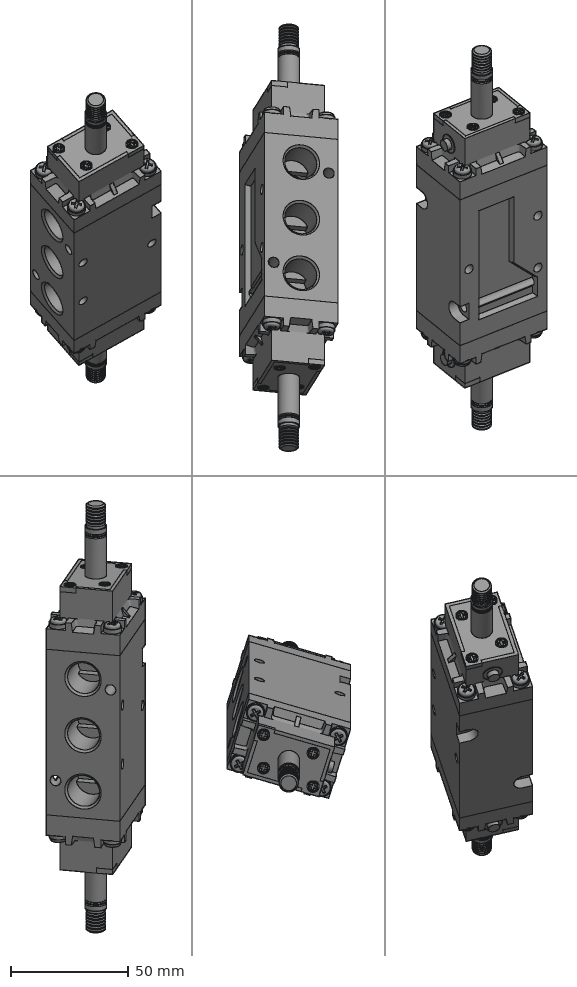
import cadquery as cq
import math


width = 32.5
depth = 45.5
total_height = 195.3
body_top = 37.9
cap_top = 50.8
block_top = 64.8
side_x = width / 2
side_y = depth / 2
tip_z = total_height / 2

port_pitch = 25.8
port_diameter = 14.0
port_mouth_diameter = 16.0
port_mouth_chamfer = (port_mouth_diameter - port_diameter) / 2
port_depth = 15.6
passage_depth = 4.0
outer_passage_height = 5.7
outer_passage_z = 24.8
middle_passage_height = 5.0
mount_hole_diameter = 4.7
mount_hole_x = 12.1
mount_hole_z = 21.9
mount_slot_height = 8.4
mount_slot_depth = 4.7
cross_hole_diameter = 4.3
cross_hole_y = 18.0
cross_hole_z = 13.5

recess_depth = 2.5
recess_draft_inset = 0.8
recess_half_height = 28.3
recess_back_y = 12.9
recess_narrow_y = -5.5
recess_wide_y = -17.8
recess_slope_start_z = -6.0
recess_slope_end_z = recess_slope_start_z - (recess_narrow_y - recess_wide_y)
flute_radius = 2.3
flute_z = -21.7

block_width = 23.2
block_depth = 34.0
screw_pocket = 8.4
screw_pocket_floor = 47.3
cap_screw_diameter = 7.8
cap_screw_inset = 4.3
cap_screw_base_height = 2.0
cap_screw_top_diameter = 7.0
cap_screw_round = 1.0
window_drop = 4.1
window_inner_drop = 3.1
window_flare = 0.5
window_convergence = 0.4
window_corner_radius = 1.0
back_wall_lean = 0.8
long_window = 22.5
short_window = 9.2
rib_width = 2.0
rib_setback = 1.0
override_z = 55.7
override_diameter = 5.0
override_length = 2.3
override_flange_diameter = 8.5
override_flange_length = 0.4

cover_thickness = 2.3
cover_margin = 1.5
cover_tab_width = 7.0
front_tab_depth = 7.5
rear_tab_depth = 8.0
cover_screw_diameter = 5.0
cover_screw_head = 4.0
cover_screw_recess = 0.8
cover_screws = [(-6.2, 9.0), (6.2, -9.4), (8.0, 13.3), (-8.0, -13.7)]
tube_radius = 4.7
neck_radius = 4.1
tip_radius = 3.3
tip_chamfer = 0.5
collar_top = 87.3
groove_depth = 0.5
seal_grooves = [83.5, 84.8]
thread_first_groove = 89.0
thread_pitch = 1.43
thread_grooves = 6
thread_groove_width = 1.0
seal_groove_width = 0.7

cap_cross_length = 4.3
cap_cross_width = 1.0
cap_cross_depth = 1.2
cap_cross_turn = 45
cover_cross_length = 3.1
cover_cross_width = 1.0
cover_cross_depth = 0.5
cover_cross_turn = 0


def box(x, y, z):
    """Box that fills the given (low, high) ranges."""
    size = [high - low for low, high in (x, y, z)]
    return cq.Workplane("XY").box(*size, centered=False).translate((x[0], y[0], z[0]))


def disc(diameter, x, y, z_low, z_high):
    """Upright cylinder."""
    return cq.Workplane("XY", origin=(x, y, z_low)).circle(diameter / 2).extrude(z_high - z_low)


def lengthwise_rod(diameter, x, z, y_low, y_high):
    """Cylinder along Y."""
    return cq.Workplane("XZ", origin=(x, y_low, z)).circle(diameter / 2).extrude(y_low - y_high)


def cross_recess(length, slot_width, slot_depth, x, y, z_top, turn):
    """Two crossed slots that open upwards at z_top, turned by an angle about their middle."""
    plane = cq.Workplane("XY", origin=(x, y, z_top)).transformed(rotate=(0, 0, turn))
    slot = plane.rect(length, slot_width).extrude(-slot_depth)
    cross_slot = plane.rect(slot_width, length).extrude(-slot_depth)
    return slot.union(cross_slot)


def lower_end(body):
    """Copy of an upper-end body, placed at the lower end."""
    return body.rotate((0, 0, 0), (0, 1, 0), 180)


def port(z, passage_z, passage_height):
    """Port in the -Y face: chamfered bore with a slot in its floor."""
    floor_y = -side_y + port_depth
    bore = lengthwise_rod(port_diameter, 0, z, -side_y, floor_y)
    mouth = (
        cq.Workplane("XZ", origin=(0, -side_y, z))
        .circle(port_mouth_diameter / 2)
        .workplane(offset=-port_mouth_chamfer)
        .circle(port_diameter / 2)
        .loft()
    )
    slot = box(
        (-side_x, side_x),
        (floor_y, floor_y + passage_depth),
        (passage_z - passage_height / 2, passage_z + passage_height / 2),
    )
    slot_limit = lengthwise_rod(port_diameter, 0, z, floor_y, floor_y + passage_depth)
    return bore.union(mouth).union(slot.intersect(slot_limit))


def mounting_hole(side):
    """Through hole along Y whose rear end is a round-ended slot open to one side."""
    x = side * mount_hole_x
    z = side * mount_hole_z
    slot_y = side_y - mount_slot_depth
    hole = lengthwise_rod(mount_hole_diameter, x, z, -side_y, side_y)
    slot_end = lengthwise_rod(mount_slot_height, x, z, slot_y, side_y)
    slot = box(
        (min(x, side * side_x), max(x, side * side_x)),
        (slot_y, side_y),
        (z - mount_slot_height / 2, z + mount_slot_height / 2),
    )
    return hole.union(slot_end).union(slot)


def side_recess():
    """Drafted recess in the -X face, widened at the bottom, with a round flute in its floor."""
    outline = [
        (recess_back_y, recess_half_height),
        (recess_narrow_y, recess_half_height),
        (recess_narrow_y, recess_slope_start_z),
        (recess_wide_y, recess_slope_end_z),
        (recess_wide_y, -recess_half_height),
        (recess_back_y, -recess_half_height),
    ]
    draft_angle = math.degrees(math.atan2(recess_draft_inset, recess_depth))
    pocket = (
        cq.Workplane("YZ", origin=(-side_x, 0, 0))
        .polyline(outline)
        .close()
        .extrude(recess_depth, taper=draft_angle)
    )
    flute = lengthwise_rod(
        2 * flute_radius,
        -side_x + recess_depth,
        flute_z,
        recess_wide_y + recess_draft_inset,
        recess_back_y - recess_draft_inset,
    )
    return pocket.union(flute)


def make_valve_body():
    body = box((-side_x, side_x), (-side_y, side_y), (-body_top, body_top))
    body = body.cut(port(0, 0, middle_passage_height))
    for side in (-1, 1):
        body = body.cut(port(side * port_pitch, side * outer_passage_z, outer_passage_height))
        body = body.cut(mounting_hole(side))
    cross_holes = [(-cross_hole_y, cross_hole_z), (-cross_hole_y, -cross_hole_z), (cross_hole_y, 0)]
    drills = (
        cq.Workplane("YZ", origin=(-side_x, 0, 0))
        .pushPoints(cross_holes)
        .circle(cross_hole_diameter / 2)
        .extrude(width)
    )
    return body.cut(drills).cut(side_recess())


def window(length, outer_distance, block_distance, turn):
    """Drafted window at the cap's top edge, from the outer face in to the pilot block.

    It is built on the -Y side and turned about Z.
    """
    half = length / 2
    inner_half = half - window_convergence
    outer = [
        (-half - window_flare, -outer_distance, cap_top),
        (half + window_flare, -outer_distance, cap_top),
        (half, -outer_distance, cap_top - window_drop),
        (-half, -outer_distance, cap_top - window_drop),
    ]
    inner = [
        (-inner_half - window_flare, -block_distance, cap_top),
        (inner_half + window_flare, -block_distance, cap_top),
        (inner_half, -block_distance - back_wall_lean, cap_top - window_inner_drop),
        (-inner_half, -block_distance - back_wall_lean, cap_top - window_inner_drop),
    ]
    wires = [cq.Wire.makePolygon([cq.Vector(*p) for p in points], close=True) for points in (outer, inner)]
    pocket = cq.Workplane(obj=cq.Solid.makeLoft(wires, True))
    back_corners = cq.selectors.BoxSelector(
        (-half, -block_distance - back_wall_lean, cap_top - window_inner_drop),
        (half, -block_distance, cap_top),
    )
    level_edges = cq.selectors.ParallelDirSelector(cq.Vector(1, 0, 0))
    pocket = pocket.edges(back_corners - level_edges).fillet(window_corner_radius)
    return pocket.rotate((0, 0, 0), (0, 0, 1), turn)


def window_rib(side):
    """Triangular rib in the middle of a long window."""
    foot_x = side * (side_x - rib_setback)
    block_x = side * block_width / 2
    floor_z = cap_top - window_drop
    return (
        cq.Workplane("XZ", origin=(0, rib_width / 2, 0))
        .polyline([(foot_x, floor_z), (block_x, floor_z), (block_x, cap_top)])
        .close()
        .extrude(rib_width)
    )


def screw_pockets():
    """Square pockets at the four top corners of the cap."""
    pockets = cq.Workplane("XY")
    for x in (-1, 1):
        for y in (-1, 1):
            x_range = sorted((x * side_x, x * (side_x - screw_pocket)))
            y_range = sorted((y * side_y, y * (side_y - screw_pocket)))
            pockets = pockets.add(box(x_range, y_range, (screw_pocket_floor, cap_top)))
    return pockets.combine()


def cap_screw_head(x, y):
    base_top = screw_pocket_floor + cap_screw_base_height
    base = disc(cap_screw_diameter, x, y, screw_pocket_floor, base_top)
    top = disc(cap_screw_top_diameter, x, y, base_top, cap_top)
    top = top.faces(">Z").edges().fillet(cap_screw_round)
    cross = cross_recess(cap_cross_length, cap_cross_width, cap_cross_depth, x, y, cap_top, cap_cross_turn)
    return base.union(top).cut(cross)


def manual_override():
    """Flanged button on the +Y face of the pilot block."""
    face_y = block_depth / 2
    flange_y = face_y + override_flange_length
    flange = lengthwise_rod(override_flange_diameter, 0, override_z, face_y, flange_y)
    button = lengthwise_rod(override_diameter, 0, override_z, face_y, flange_y + override_length)
    return flange.union(button)


def make_end_cap(cover):
    cap = box((-side_x, side_x), (-side_y, side_y), (body_top, cap_top))
    for turn in (0, 180):
        cap = cap.cut(window(short_window, side_y, block_depth / 2, turn))
        cap = cap.cut(window(long_window, side_x, block_width / 2, turn + 90))
    for side in (-1, 1):
        cap = cap.union(window_rib(side))
    cap = cap.cut(screw_pockets())
    block = box(
        (-block_width / 2, block_width / 2),
        (-block_depth / 2, block_depth / 2),
        (screw_pocket_floor, block_top),
    )
    cap = cap.union(block)
    for x in (-1, 1):
        for y in (-1, 1):
            cap = cap.union(cap_screw_head(x * (side_x - cap_screw_inset), y * (side_y - cap_screw_inset)))
    return cap.union(manual_override()).cut(cover)


def make_cover_plate():
    """Plate let in flush with the top of the pilot block, with two tabs that reach its corners."""
    z_range = (block_top - cover_thickness, block_top)
    edge_x = block_width / 2
    edge_y = block_depth / 2
    inner_x = edge_x - cover_margin
    inner_y = edge_y - cover_margin
    plate = box((-inner_x, inner_x), (-inner_y, inner_y), z_range)
    front_tab = box((-edge_x, -edge_x + cover_tab_width), (-edge_y, -edge_y + front_tab_depth), z_range)
    rear_tab = box((edge_x - cover_tab_width, edge_x), (edge_y - rear_tab_depth, edge_y), z_range)
    return plate.union(front_tab).union(rear_tab)


def cover_screw_seat(x, y):
    """Ring and cross that mark a sunk screw head in the plate."""
    ring_floor = block_top - cover_screw_recess
    ring = disc(cover_screw_diameter, x, y, ring_floor, block_top)
    ring = ring.cut(disc(cover_screw_head, x, y, ring_floor, block_top))
    cross = cross_recess(
        cover_cross_length, cover_cross_width, cover_cross_depth, x, y, block_top, cover_cross_turn
    )
    return ring.union(cross)


def tube_groove(radius, z, groove_width):
    """V-shaped ring groove."""
    profile = [
        (radius, z - groove_width / 2),
        (radius - groove_depth, z),
        (radius, z + groove_width / 2),
    ]
    return cq.Workplane("XZ").polyline(profile).close().revolve(360, (0, 0), (0, 1))


def armature_tube():
    outline = [
        (0, block_top),
        (tube_radius, block_top),
        (tube_radius, collar_top),
        (neck_radius, collar_top),
        (neck_radius, tip_z - tip_chamfer),
        (tip_radius, tip_z),
        (0, tip_z),
    ]
    tube = cq.Workplane("XZ").polyline(outline).close().revolve(360, (0, 0), (0, 1))
    for z in seal_grooves:
        tube = tube.cut(tube_groove(tube_radius, z, seal_groove_width))
    for i in range(thread_grooves):
        tube = tube.cut(tube_groove(neck_radius, thread_first_groove + i * thread_pitch, thread_groove_width))
    return tube


def make_tube_cover(plate):
    cover = plate
    for x, y in cover_screws:
        cover = cover.cut(cover_screw_seat(x, y))
    return cover.union(armature_tube())


valve_body = make_valve_body()
cover_plate = make_cover_plate()
upper_cap = make_end_cap(cover_plate)
upper_cover = make_tube_cover(cover_plate)

solids = [valve_body.solids().val()]
for upper_body in (upper_cap, upper_cover):
    solids.append(upper_body.solids().val())
    solids.append(lower_end(upper_body).solids().val())

result = cq.Compound.makeCompound(solids)